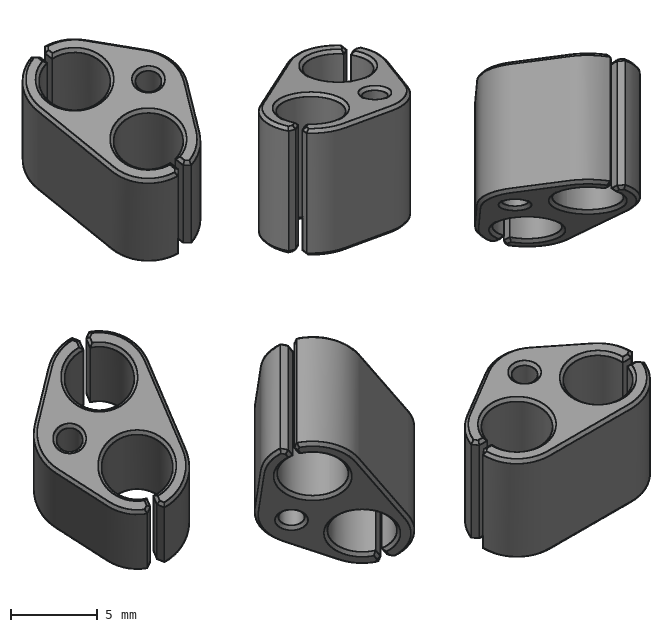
import cadquery as cq
import math

height = 8.0
corner_radius = 3.0
half_spacing = 3.0
peak_center_y = 2.0
small_hole_y = 3.0
left_bore_diameter = 4.09
right_bore_diameter = 4.0
small_hole_diameter = 1.5
slot_width = 0.4
mouth_width = 1.07
rim_chamfer = 0.2

flank_angle = math.atan2(half_spacing, peak_center_y)


def corner_point(center_x, center_y, angle):
    """Point on a corner arc at an angle in radians from +X."""
    return (center_x + corner_radius * math.cos(angle), center_y + corner_radius * math.sin(angle))


def mirrored(point):
    """Point reflected across the YZ plane."""
    return (-point[0], point[1])


def make_body():
    """Rounded triangular block with its bottom on the XY plane."""
    bottom_right = (half_spacing, -corner_radius)
    right_side = (half_spacing + corner_radius, 0)
    flank_start = corner_point(half_spacing, 0, flank_angle)
    flank_end = corner_point(0, peak_center_y, flank_angle)
    peak = (0, peak_center_y + corner_radius)
    return (
        cq.Workplane("XY")
        .moveTo(*mirrored(bottom_right))
        .lineTo(*bottom_right)
        .threePointArc(right_side, flank_start)
        .lineTo(*flank_end)
        .threePointArc(peak, mirrored(flank_end))
        .lineTo(*mirrored(flank_start))
        .threePointArc(mirrored(right_side), mirrored(bottom_right))
        .close()
        .extrude(height)
    )


def make_hole(x, y, diameter):
    """Cutter for a hole through the full height."""
    return cq.Workplane("XY").center(x, y).circle(diameter / 2).extrude(height)


def make_slot(side):
    """Cutter for the slot into a large bore, flared at 45 degrees; side is +1 or -1 along X."""
    half_slot = slot_width / 2
    half_mouth = mouth_width / 2
    mouth_x = half_spacing + math.sqrt(corner_radius**2 - half_mouth**2)
    throat_x = mouth_x - (half_mouth - half_slot)
    outer_x = half_spacing + corner_radius
    outer_half_width = half_slot + outer_x - throat_x
    upper_edge = [
        (side * half_spacing, half_slot),
        (side * throat_x, half_slot),
        (side * outer_x, outer_half_width),
    ]
    lower_edge = [(x, -y) for x, y in reversed(upper_edge)]
    return cq.Workplane("XY").polyline(upper_edge + lower_edge).close().extrude(height)


body = make_body()
body = body.cut(make_hole(-half_spacing, 0, left_bore_diameter))
body = body.cut(make_hole(half_spacing, 0, right_bore_diameter))
body = body.cut(make_hole(0, small_hole_y, small_hole_diameter))
for side in (-1, 1):
    body = body.cut(make_slot(side))

result = body.faces("<Z or >Z").chamfer(rim_chamfer)